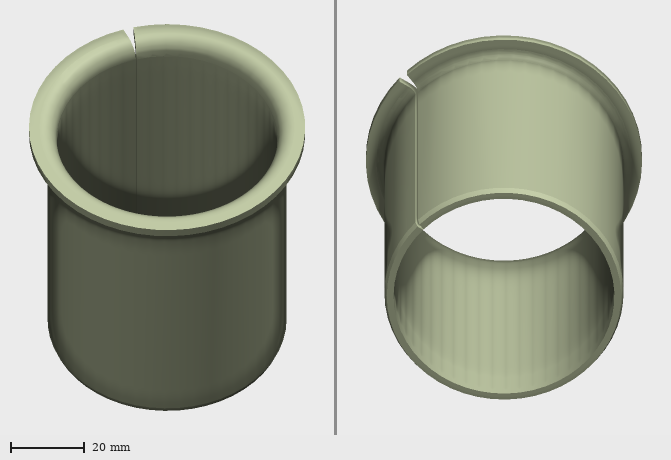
import cadquery as cq
import math

height = 80.0
flange_radius = 37.5
bore_radius = 30.0
wall = 2.5
inner_bend_radius = 4.6
end_chamfer_height = 1.8
end_chamfer_width = 0.6
gap_apex_radius = 29.6
gap_angle = 20.5
cut_overrun = 1.6

body_radius = bore_radius + wall
outer_bend_radius = inner_bend_radius - wall
bend_center_radius = bore_radius + inner_bend_radius
bend_center_z = height - inner_bend_radius
diagonal = 0.5 ** 0.5


def bend_midpoint(radius):
    """Middle of the quarter arc that turns the wall into the flange."""
    return (bend_center_radius - radius * diagonal, bend_center_z + radius * diagonal)


def flanged_sleeve():
    """Revolve the wall section, with its bent flange and chamfered lower end."""
    section = (
        cq.Workplane("XZ")
        .moveTo(bore_radius, 0)
        .lineTo(body_radius - end_chamfer_width, 0)
        .lineTo(body_radius, end_chamfer_height)
        .lineTo(body_radius, bend_center_z)
        .threePointArc(bend_midpoint(outer_bend_radius), (bend_center_radius, height - wall))
        .lineTo(flange_radius, height - wall)
        .lineTo(flange_radius, height)
        .lineTo(bend_center_radius, height)
        .threePointArc(bend_midpoint(inner_bend_radius), (bore_radius, bend_center_z))
        .close()
    )
    sleeve = section.revolve(360, (0, 0, 0), (0, 1, 0))
    return sleeve.rotate((0, 0, 0), (0, 0, 1), 180)


def tapered_gap():
    """Full-height wedge on the -X side, nearly closed at the bore and widest at the flange rim."""
    outer_end = flange_radius + cut_overrun
    half_width = (outer_end - gap_apex_radius) * math.tan(math.radians(gap_angle / 2))
    return (
        cq.Workplane("XY")
        .polyline([
            (-gap_apex_radius, 0),
            (-outer_end, half_width),
            (-outer_end, -half_width),
        ])
        .close()
        .extrude(height)
    )


result = flanged_sleeve().cut(tapered_gap())